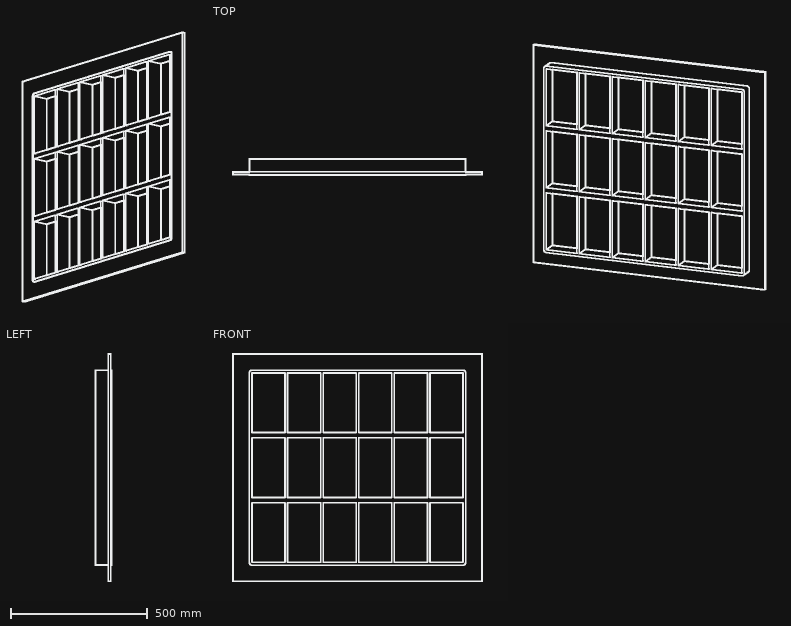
import cadquery as cq

flange_width = 913.0
flange_height = 834.0
flange_thickness = 10.0
side_border = 60.0
end_border = 59.0

box_depth = 60.0
front_lip = 3.0
corner_radius = 10.0
side_wall = 10.0
end_wall = 11.0

columns = 6
rows = 3
upright_thickness = 10.0
crossbar_thickness = 20.0

box_width = flange_width - 2 * side_border
box_height = flange_height - 2 * end_border
opening_width = (box_width - 2 * side_wall - (columns - 1) * upright_thickness) / columns
opening_height = (box_height - 2 * end_wall - (rows - 1) * crossbar_thickness) / rows


def block(width, depth, height, front):
    """Block centred in X and Z, running towards +Y from its front face."""
    return cq.Workplane("XY").box(width, depth, height).translate((0, front + depth / 2, 0))


flange = block(flange_width, flange_thickness, flange_height, front_lip)
box = block(box_width, box_depth, box_height, 0).edges("|Y").fillet(corner_radius)

openings = (
    cq.Workplane("XZ")
    .rarray(opening_width + upright_thickness, opening_height + crossbar_thickness, columns, rows)
    .rect(opening_width, opening_height)
    .extrude(-box_depth)
)

result = flange.union(box).cut(openings)